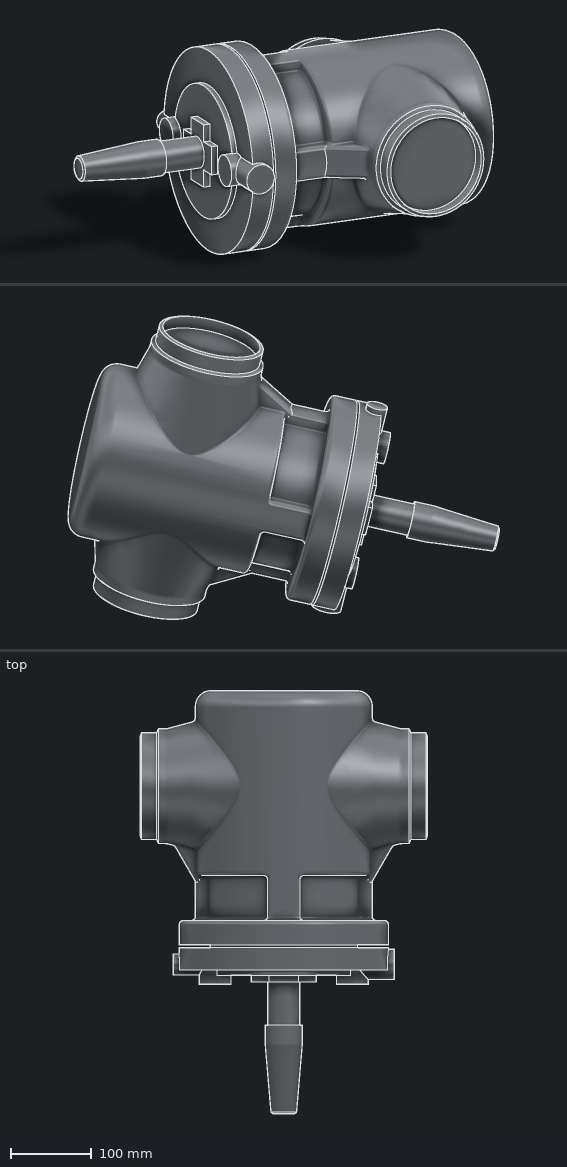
import cadquery as cq
import math


Y_BODY_BACK = 118.5
Y_POCKET_WALL = -111.0
Y_FLANGE_BACK = -166.5
Y_FLANGE_FRONT = -197.0
Y_COVER_BACK = -200.0
Y_COVER_FRONT = -228.0
Y_DISC_FRONT = -234.5
Y_CROSS_FRONT = -243.0
Y_STUD_FRONT = -245.5
Y_COLLAR_BACK = -296.0
Y_COLLAR_FRONT = -321.0
Y_TIP = -406.5

TOUCH = 0.05

BODY_DIAMETER = 220.0
BACK_ROUND = 20.0
POCKET_FLOOR_DIAMETER = 190.5
RIB_WIDTH = 40.0
POCKET_ROUND = 4.5
POCKET_CORNER_ROUND = 5.0

FLANGE_DIAMETER = 260.0
FLANGE_ROUND = 5.0
SPIGOT_DIAMETER = 183.0
DISC_DIAMETER = 170.0
CROSS_LENGTH = 81.0
CROSS_WIDTH = 37.0
STUD_DIAMETER = 40.0
STUD_OFFSET = 85.0
PIN_REACH = 137.0
PIN_Y = -221.0
LEFT_PIN_DIAMETER = 26.0
RIGHT_PIN_DIAMETER = 38.0

SHAFT_DIAMETER = 40.0
COLLAR_DIAMETER = 46.0
TIP_DIAMETER = 32.0
TIP_FACE_DIAMETER = 26.0
TIP_CHAMFER_LENGTH = 2.0

PORT_REACH = 178.0
PORT_CHAMFER_LENGTH = 1.5
PORT_DIAMETER = 133.0
PORT_BORE_DIAMETER = 124.0
PORT_BORE_DEPTH = 16.0
PORT_COLLAR_DIAMETER = 143.0
PORT_COLLAR_OUTER_X = 157.5
PORT_COLLAR_CHAMFER_LENGTH = 2.0
PORT_COLLAR_INNER_X = 145.0
PORT_COLLAR_BLEND = 10.5
PORT_CONE_ANGLE = 15
PORT_CONE_INNER_X = 42.0

GUSSET_ANGLE = 30
GUSSET_FOOT_Y = -117.5
GUSSET_TOP_Y = -63.0
GUSSET_INNER_X = 100.0
ROOT_ROUND = 4.5


def cylinder_y(diameter, y_start, y_end, x=0):
    """Cylinder parallel to the main axis, from y_start forward to y_end."""
    return cq.Workplane("XZ", origin=(x, y_start, 0)).circle(diameter / 2).extrude(y_start - y_end)


def make_body():
    body = cylinder_y(BODY_DIAMETER, Y_BODY_BACK, Y_FLANGE_BACK)
    return body.faces(">Y").edges().fillet(BACK_ROUND)


def make_port():
    """Port on the +X side: a cone growing towards the body, a collar and a pipe end."""
    radius = PORT_DIAMETER / 2
    bore_radius = PORT_BORE_DIAMETER / 2
    collar_radius = PORT_COLLAR_DIAMETER / 2
    cone_length = PORT_COLLAR_INNER_X - PORT_CONE_INNER_X
    cone_radius = collar_radius + cone_length * math.tan(math.radians(PORT_CONE_ANGLE))
    bore_floor_x = PORT_REACH - PORT_BORE_DEPTH
    profile = [
        (PORT_CONE_INNER_X, 0),
        (PORT_CONE_INNER_X, cone_radius),
        (PORT_COLLAR_INNER_X, collar_radius),
        (PORT_COLLAR_OUTER_X - PORT_COLLAR_CHAMFER_LENGTH, collar_radius),
        (PORT_COLLAR_OUTER_X, radius),
        (PORT_REACH - PORT_CHAMFER_LENGTH, radius),
        (PORT_REACH, bore_radius),
        (bore_floor_x, bore_radius),
        (bore_floor_x, 0),
    ]
    port = cq.Workplane("XY").polyline(profile).close().revolve(360, (0, 0, 0), (1, 0, 0))
    cone_end = cq.selectors.NearestToPointSelector((PORT_COLLAR_INNER_X, 0, collar_radius))
    return port.edges("%CIRCLE").edges(cone_end).fillet(PORT_COLLAR_BLEND)


def on_cylinder(edge, diameter):
    """True if both ends of the edge lie on the main-axis cylinder of this diameter."""
    return all(
        abs(math.hypot(end.x, end.z) - diameter / 2) < TOUCH
        for end in (edge.startPoint(), edge.endPoint())
    )


def within(half_width, y_low, y_high):
    """Selector for edges lying wholly in a box centred on the main axis."""
    return cq.selectors.BoxSelector(
        (-half_width, y_low, -half_width), (half_width, y_high, half_width), boundingbox=True
    )


def make_pocket():
    """Cutter for the pocket in the +X, +Z quarter, with its corners and floor edges rounded."""
    pocket = (
        cq.Workplane("XZ", origin=(0, Y_POCKET_WALL, 0))
        .moveTo(RIB_WIDTH / 2, RIB_WIDTH / 2)
        .rect(BODY_DIAMETER, BODY_DIAMETER, centered=False)
        .extrude(Y_POCKET_WALL - Y_FLANGE_BACK)
        .cut(cylinder_y(POCKET_FLOOR_DIAMETER, Y_POCKET_WALL, Y_FLANGE_BACK))
    )
    pocket = pocket.faces(">Y").edges("<X or <Z").fillet(POCKET_CORNER_ROUND)
    floor_edges = [
        edge
        for edge in pocket.edges().vals()
        if on_cylinder(edge, POCKET_FLOOR_DIAMETER) and edge.BoundingBox().ymax > Y_FLANGE_BACK + TOUCH
    ]
    return pocket.newObject(floor_edges).fillet(POCKET_ROUND)


def make_pocketed_body():
    """Body with four pockets between the ribs, their rims rounded."""
    body = make_body()
    pocket = make_pocket()
    for turn in range(4):
        body = body.cut(pocket.rotate((0, 0, 0), (0, 1, 0), 90 * turn))
    rim_edges = [
        edge
        for edge in body.edges().vals()
        if on_cylinder(edge, BODY_DIAMETER)
        and Y_FLANGE_BACK + TOUCH < edge.BoundingBox().ymax < Y_POCKET_WALL + TOUCH
    ]
    return body.newObject(rim_edges).fillet(POCKET_ROUND)


def make_flange():
    flange = cylinder_y(FLANGE_DIAMETER, Y_FLANGE_BACK, Y_FLANGE_FRONT)
    return flange.faces(">Y").edges().fillet(FLANGE_ROUND)


def join_flange(body):
    """Add the flange and round the corner where the body meets it."""
    joined = body.union(make_flange())
    root_edges = joined.edges(within(BODY_DIAMETER / 2 + TOUCH, Y_FLANGE_BACK - TOUCH, Y_FLANGE_BACK + TOUCH))
    return root_edges.fillet(POCKET_ROUND)


def mirrored_pair(part):
    return part.union(part.mirror("YZ"))


def make_gusset():
    """Sloping web on the +X side from the port cone to the rib, its outer edges rounded."""
    slope = math.tan(math.radians(GUSSET_ANGLE))
    foot_x = BODY_DIAMETER / 2

    def outer_point(y):
        return (foot_x + (y - GUSSET_FOOT_Y) * slope, y)

    outer_end = outer_point(GUSSET_TOP_Y)
    inner_end = outer_point(GUSSET_FOOT_Y - (foot_x - GUSSET_INNER_X) / slope)
    web = (
        cq.Workplane("XY")
        .polyline([outer_end, inner_end, (GUSSET_INNER_X, GUSSET_TOP_Y)])
        .close()
        .extrude(RIB_WIDTH / 2, both=True)
    )
    sloping_face = web.faces("not (|X or |Y or |Z)")
    return sloping_face.edges("not |Z").fillet(POCKET_ROUND)


def join_ports(body):
    """Add ports and gussets, and round the corners where they meet each other and the body."""
    joined = body.union(mirrored_pair(make_port())).union(mirrored_pair(make_gusset()))
    limit = PORT_COLLAR_INNER_X - PORT_COLLAR_BLEND / 4
    near_ports = joined.edges(within(limit, Y_POCKET_WALL, -Y_POCKET_WALL))
    pocket_rim_y = Y_POCKET_WALL + POCKET_ROUND
    root_edges = [
        edge
        for edge in near_ports.edges("|Y or (not %LINE)").vals()
        if edge.BoundingBox().ymax > pocket_rim_y + TOUCH
    ]
    return joined.newObject(root_edges).fillet(ROOT_ROUND)


def make_cross():
    depth = Y_DISC_FRONT - Y_CROSS_FRONT
    base = cq.Workplane("XZ", origin=(0, Y_DISC_FRONT, 0))
    bar = base.rect(CROSS_LENGTH, CROSS_WIDTH).extrude(depth)
    return bar.union(base.rect(CROSS_WIDTH, CROSS_LENGTH).extrude(depth))


def make_pin(diameter, side):
    """Radial pin from a stud axis outwards; side is +1 for +X and -1 for -X."""
    pin = cq.Workplane("YZ", origin=(side * STUD_OFFSET, PIN_Y, 0)).circle(diameter / 2)
    return pin.extrude(side * (PIN_REACH - STUD_OFFSET))


def make_cover():
    """Cover on its spigot, with the raised disc, cross, studs and radial pins."""
    cover = cylinder_y(SPIGOT_DIAMETER, Y_FLANGE_FRONT, Y_COVER_BACK)
    cover = cover.union(cylinder_y(FLANGE_DIAMETER, Y_COVER_BACK, Y_COVER_FRONT))
    cover = cover.union(cylinder_y(DISC_DIAMETER, Y_COVER_FRONT, Y_DISC_FRONT))
    cover = cover.union(make_cross())
    for side, pin_diameter in ((-1, LEFT_PIN_DIAMETER), (1, RIGHT_PIN_DIAMETER)):
        cover = cover.union(cylinder_y(STUD_DIAMETER, Y_COVER_FRONT, Y_STUD_FRONT, side * STUD_OFFSET))
        cover = cover.union(make_pin(pin_diameter, side))
    return cover


def make_spindle():
    """Spindle with a collar, a tapered end and a small chamfer at the tip."""
    collar_radius = COLLAR_DIAMETER / 2
    profile = [
        (0, Y_DISC_FRONT),
        (SHAFT_DIAMETER / 2, Y_DISC_FRONT),
        (SHAFT_DIAMETER / 2, Y_COLLAR_BACK),
        (collar_radius, Y_COLLAR_BACK),
        (collar_radius, Y_COLLAR_FRONT),
        (TIP_DIAMETER / 2, Y_TIP + TIP_CHAMFER_LENGTH),
        (TIP_FACE_DIAMETER / 2, Y_TIP),
        (0, Y_TIP),
    ]
    return cq.Workplane("XY").polyline(profile).close().revolve(360, (0, 0, 0), (0, 1, 0))


housing = join_flange(join_ports(make_pocketed_body()))
result = housing.union(make_cover()).union(make_spindle())